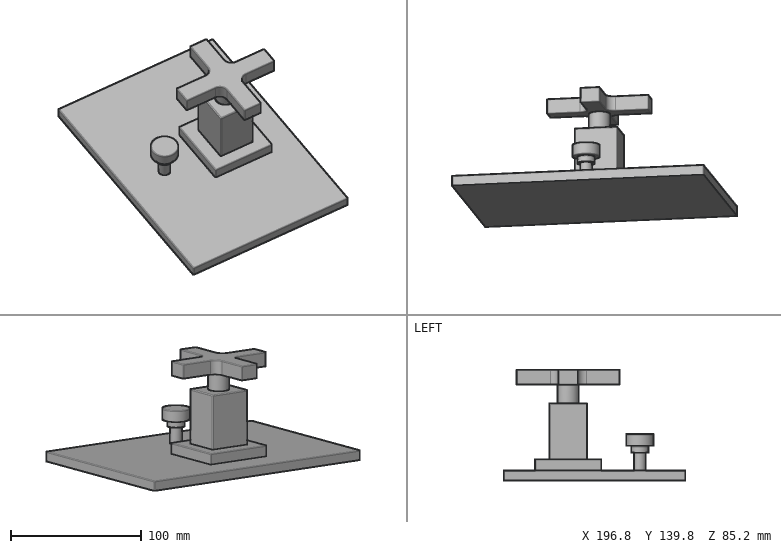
import cadquery as cq

PLATE_LENGTH = 196.8
PLATE_WIDTH = 139.8
PLATE_THICKNESS = 7.9

HANDLE_Y = 20.3
BASE_LENGTH = 53.3
BASE_WIDTH = 51.2
BASE_HEIGHT = 8.7
POST_LENGTH = 33.5
POST_WIDTH = 29.3
POST_HEIGHT = 43.0
STEM_DIAMETER = 16.5
CROSS_SPAN = 79.3
CROSS_ARM_WIDTH = 15.0
CROSS_THICKNESS = 11.6
CROSS_CORNER_RADIUS = 6.3
TOTAL_HEIGHT = 85.2

KNOB_Y = -34.8
PIN_DIAMETER = 9.3
PIN_HEIGHT = 13.5
COLLAR_DIAMETER = 13.5
COLLAR_HEIGHT = 5.1
HEAD_DIAMETER = 21.3
HEAD_HEIGHT = 9.3

EDGE_RADIUS = 0.5
POST_EDGE_RADIUS = 0.8

BASE_TOP = PLATE_THICKNESS + BASE_HEIGHT
POST_TOP = BASE_TOP + POST_HEIGHT
CROSS_BOTTOM = TOTAL_HEIGHT - CROSS_THICKNESS
STEM_HEIGHT = CROSS_BOTTOM - POST_TOP


def block(length, width, height, y, bottom):
    """Box centred on X = 0 and the given Y, standing on the level `bottom`."""
    return cq.Workplane("XY", origin=(0, y, bottom)).box(length, width, height, centered=(True, True, False))


def softened_block(length, width, height, y, bottom, radius=EDGE_RADIUS):
    """Block with its upright and top edges rounded and a sharp underside."""
    return block(length, width, height, y, bottom).edges("|Z or >Z").fillet(radius)


def disc(diameter, height, y, bottom):
    """Upright cylinder standing on the level `bottom`."""
    return cq.Workplane("XY", origin=(0, y, bottom)).circle(diameter / 2).extrude(height)


def cross_handle():
    """Four-armed handle with rounded inner corners and softened outer edges."""
    arm_x = block(CROSS_SPAN, CROSS_ARM_WIDTH, CROSS_THICKNESS, HANDLE_Y, CROSS_BOTTOM)
    arm_y = block(CROSS_ARM_WIDTH, CROSS_SPAN, CROSS_THICKNESS, HANDLE_Y, CROSS_BOTTOM)
    inner_half = CROSS_ARM_WIDTH / 2 + EDGE_RADIUS
    inner_corners = cq.selectors.BoxSelector(
        (-inner_half, HANDLE_Y - inner_half, CROSS_BOTTOM),
        (inner_half, HANDLE_Y + inner_half, TOTAL_HEIGHT),
    )
    cross = arm_x.union(arm_y).edges("|Z").edges(inner_corners).fillet(CROSS_CORNER_RADIUS)
    rounded_tips = cross.faces("<X or >X or <Y or >Y").edges("|Z").fillet(EDGE_RADIUS)
    return rounded_tips.faces("<Z or >Z").edges().fillet(EDGE_RADIUS)


def pull_knob():
    """Round head on a collar and a slim pin."""
    collar_bottom = PLATE_THICKNESS + PIN_HEIGHT
    head_bottom = collar_bottom + COLLAR_HEIGHT
    pin = disc(PIN_DIAMETER, PIN_HEIGHT, KNOB_Y, PLATE_THICKNESS)
    collar = disc(COLLAR_DIAMETER, COLLAR_HEIGHT, KNOB_Y, collar_bottom).edges(">Z").fillet(EDGE_RADIUS)
    head = disc(HEAD_DIAMETER, HEAD_HEIGHT, KNOB_Y, head_bottom).edges().fillet(EDGE_RADIUS)
    return pin.union(collar).union(head)


plate = softened_block(PLATE_LENGTH, PLATE_WIDTH, PLATE_THICKNESS, 0, 0)
base = softened_block(BASE_LENGTH, BASE_WIDTH, BASE_HEIGHT, HANDLE_Y, PLATE_THICKNESS)
post = softened_block(POST_LENGTH, POST_WIDTH, POST_HEIGHT, HANDLE_Y, BASE_TOP, POST_EDGE_RADIUS)
stem = disc(STEM_DIAMETER, STEM_HEIGHT, HANDLE_Y, POST_TOP).edges().fillet(EDGE_RADIUS)

result = plate.union(base).union(post).union(stem).union(cross_handle()).union(pull_knob())